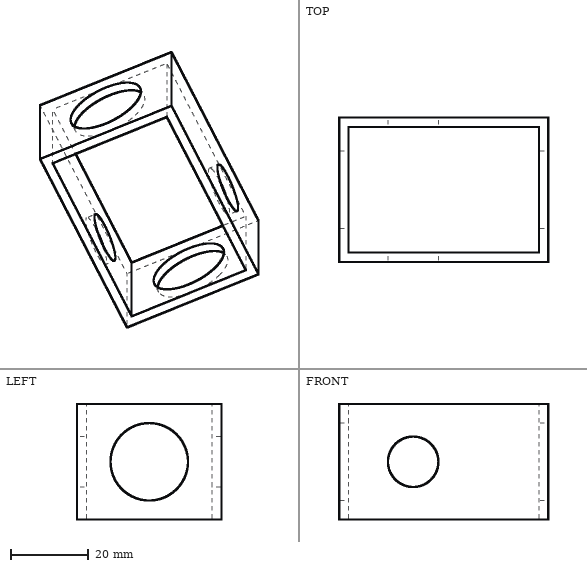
import cadquery as cq

length = 54.25
width = 37.5
height = 30.0
wall = 2.5

side_hole_diameter = 13.0
side_hole_from_left = 19.2
end_hole_diameter = 20.0


def make_frame():
    """Rectangular tube, open at top and bottom, centred on the origin."""
    outer = cq.Workplane("XY").box(length, width, height)
    inner = cq.Workplane("XY").box(length - 2 * wall, width - 2 * wall, height)
    return outer.cut(inner)


def make_side_hole_cutter():
    """Cylinder along Y that passes through both long walls."""
    hole_x = side_hole_from_left - length / 2
    return (
        cq.Workplane("XZ")
        .center(hole_x, 0)
        .circle(side_hole_diameter / 2)
        .extrude(width / 2, both=True)
    )


def make_end_hole_cutter():
    """Cylinder along X that passes through both short walls."""
    return cq.Workplane("YZ").circle(end_hole_diameter / 2).extrude(length / 2, both=True)


result = make_frame().cut(make_side_hole_cutter()).cut(make_end_hole_cutter())